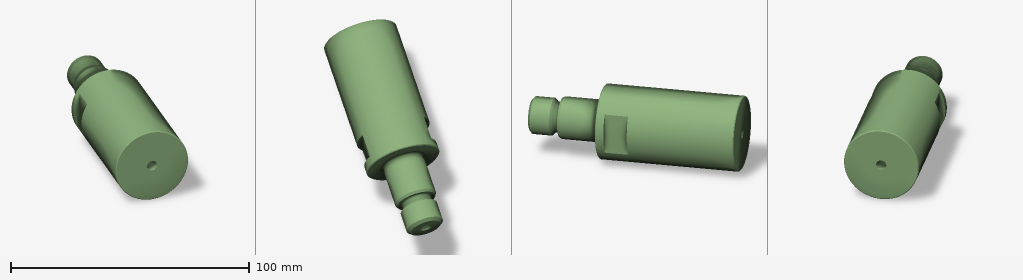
import cadquery as cq
import math

total_length = 91.0
body_radius = 16.0
body_start = 31.1
body_chamfer = 0.4

tip_radius = 8.0
tip_chamfer_length = 1.2
tip_face_radius = 6.6
tip_end = 9.5

groove_radius = 6.55
groove_end = 12.9
groove_fillet = 0.55
flank_fillet = 0.7

collar_radius = 9.0
collar_chamfer_length = 1.1
collar_face_radius = 8.4
collar_end = 28.8

undercut_radius = 8.7
undercut_floor_start = 29.7
undercut_fillet = 0.7
undercut_face_depth = 0.2
undercut_outer_radius = 10.1

bore_radius = 2.2
bore_chamfer = 0.3

flat_start = 34.85
flat_length = 10.1
flat_spacing = 27.0

DIAGONAL = math.sqrt(0.5)
HALF_FLANK_ANGLE = math.radians(45) / 2


def make_turned_shaft():
    """Revolve the outer profile, drawn as (x, radius), about the X axis."""
    flank_end = tip_end + tip_radius - groove_radius
    flank_tangent = flank_fillet * math.tan(HALF_FLANK_ANGLE)
    flank_arc_start = flank_end - flank_tangent * DIAGONAL
    flank_arc_end = flank_end + flank_tangent
    flank_arc_middle = (
        flank_arc_end - flank_fillet * math.sin(HALF_FLANK_ANGLE),
        groove_radius + flank_fillet * (1 - math.cos(HALF_FLANK_ANGLE)),
    )
    undercut_end = body_start + undercut_face_depth
    arc_inset = undercut_fillet * (1 - DIAGONAL)
    groove_inset = groove_fillet * (1 - DIAGONAL)
    profile = (
        cq.Workplane("XY")
        .moveTo(0, 0)
        .lineTo(0, tip_face_radius)
        .lineTo(tip_chamfer_length, tip_radius)
        .lineTo(tip_end, tip_radius)
        .lineTo(flank_arc_start, groove_radius + flank_tangent * DIAGONAL)
        .threePointArc(flank_arc_middle, (flank_arc_end, groove_radius))
        .lineTo(groove_end - groove_fillet, groove_radius)
        .threePointArc(
            (groove_end - groove_inset, groove_radius + groove_inset),
            (groove_end, groove_radius + groove_fillet),
        )
        .lineTo(groove_end, collar_face_radius)
        .lineTo(groove_end + collar_chamfer_length, collar_radius)
        .lineTo(collar_end, collar_radius)
        .lineTo(undercut_floor_start, undercut_radius)
        .lineTo(undercut_end - undercut_fillet, undercut_radius)
        .threePointArc(
            (undercut_end - arc_inset, undercut_radius + arc_inset),
            (undercut_end, undercut_radius + undercut_fillet),
        )
        .lineTo(body_start, undercut_outer_radius)
        .lineTo(body_start, body_radius - body_chamfer)
        .lineTo(body_start + body_chamfer, body_radius)
        .lineTo(total_length - body_chamfer, body_radius)
        .lineTo(total_length, body_radius - body_chamfer)
        .lineTo(total_length, 0)
        .close()
    )
    return profile.revolve(360, (0, 0, 0), (1, 0, 0))


def make_bore():
    """Through bore with a chamfered mouth at the tip."""
    return (
        cq.Workplane("XY")
        .moveTo(0, 0)
        .lineTo(0, bore_radius + bore_chamfer)
        .lineTo(bore_chamfer, bore_radius)
        .lineTo(total_length, bore_radius)
        .lineTo(total_length, 0)
        .close()
        .revolve(360, (0, 0, 0), (1, 0, 0))
    )


def make_flat_cutter(side):
    """Block that removes one wrench flat on the given Y side (-1 or 1)."""
    center_y = side * (flat_spacing + body_radius) / 2
    return cq.Workplane("XY").box(flat_length, body_radius, 2 * body_radius).translate(
        (flat_start + flat_length / 2, center_y, 0)
    )


result = make_turned_shaft().cut(make_bore())
for side in (-1, 1):
    result = result.cut(make_flat_cutter(side))